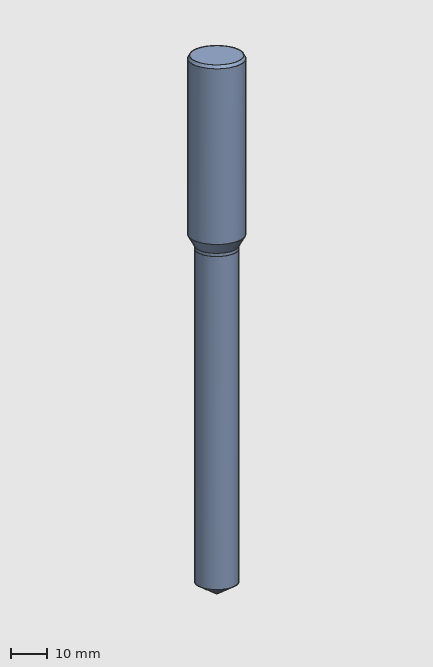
import cadquery as cq

total_length = 158.0
shank_diameter = 16.0
shank_length = 56.7
chamfer_height = 1.0
chamfer_width = 0.55
taper_length = 3.3
neck_length = 1.0

drill_diameter = 12.2
tip_length = 3.6

shank_radius = shank_diameter / 2
drill_radius = drill_diameter / 2
shank_bottom = total_length - shank_length
taper_bottom = shank_bottom + neck_length
taper_top = taper_bottom + taper_length


def make_shank():
    """Plain round shank, chamfered on top and tapering down to a neck of the drill diameter."""
    profile = (
        cq.Workplane("XZ")
        .moveTo(0, shank_bottom)
        .lineTo(drill_radius, shank_bottom)
        .lineTo(drill_radius, taper_bottom)
        .lineTo(shank_radius, taper_top)
        .lineTo(shank_radius, total_length - chamfer_height)
        .lineTo(shank_radius - chamfer_width, total_length)
        .lineTo(0, total_length)
        .close()
    )
    return profile.revolve(360, (0, 0, 0), (0, 1, 0))


def make_drill():
    """Round cutting part with a conical tip, meeting the underside of the shank."""
    profile = (
        cq.Workplane("XZ")
        .lineTo(drill_radius, tip_length)
        .lineTo(drill_radius, shank_bottom)
        .lineTo(0, shank_bottom)
        .close()
    )
    return profile.revolve(360, (0, 0, 0), (0, 1, 0))


shank = make_shank()
drill = make_drill()

result = cq.Compound.makeCompound([shank.val(), drill.val()])